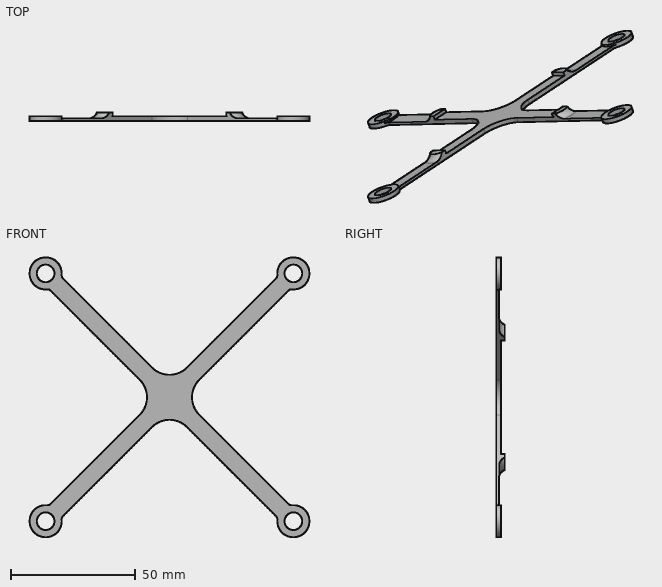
import cadquery as cq
import math


overall_span = 112.6
lug_radius = 6.5
lug_hole_diameter = 7.0
arm_width = 7.0
hub_fillet_radius = 10.0
neck_fillet_radius = 2.0

plate_thickness = 2.0
thin_thickness = 1.2
tab_height = 3.5
tab_distance = 35.7
tab_top_radius = 4.3
tab_flank_radius = 3.5

lug_offset = overall_span / 2 - lug_radius
lug_distance = lug_offset * math.sqrt(2)
arm_angles = (45, 135, 225, 315)
tab_axis_distance = lug_distance / 2
tab_rise = tab_height - thin_thickness
tab_flank_reach = math.sqrt(tab_flank_radius**2 - (tab_flank_radius - tab_rise) ** 2)
tab_base_radius = tab_top_radius + tab_flank_reach


def back_plane(y):
    """XZ plane at height y whose normal points toward +Y."""
    return cq.Workplane(cq.Plane(origin=(0, y, 0), xDir=(1, 0, 0), normal=(0, 1, 0)))


def on_each_arm(arm_feature):
    """Union of four copies of a feature modelled on the arm along +X."""
    copies = cq.Workplane()
    for angle in arm_angles:
        copies = copies.add(arm_feature.rotate((0, 0, 0), (0, 1, 0), angle))
    return copies.combine()


def make_outline_plate():
    """Full-thickness plate with hub and neck fillets."""
    bar_length = 2 * lug_distance
    bar = back_plane(0).rect(bar_length, arm_width).extrude(plate_thickness)
    cross = bar.rotate((0, 0, 0), (0, 1, 0), arm_angles[0])
    cross = cross.union(bar.rotate((0, 0, 0), (0, 1, 0), arm_angles[1]))
    hub_zone = cq.selectors.BoxSelector(
        (-arm_width, 0, -arm_width),
        (arm_width, plate_thickness, arm_width),
    )
    cross = cross.edges("|Y").edges(hub_zone).fillet(hub_fillet_radius)

    lug = back_plane(0).center(lug_distance, 0).circle(lug_radius).extrude(plate_thickness)
    plate = cross.union(on_each_arm(lug))
    neck_distance = lug_distance - math.sqrt(lug_radius**2 - (arm_width / 2) ** 2)
    match_tolerance = 0.01
    neck_radius = math.hypot(neck_distance, arm_width / 2)
    necks = [
        edge
        for edge in plate.edges("|Y").vals()
        if abs(math.hypot(edge.Center().x, edge.Center().z) - neck_radius) < match_tolerance
    ]
    return plate.newObject(necks).fillet(neck_fillet_radius)


def make_arm_relief():
    """Material removed from the back of the outer arm, stopping at the lug circle."""
    relief_depth = plate_thickness - thin_thickness
    relief_length = lug_distance - tab_distance
    relief = (
        back_plane(thin_thickness)
        .center(tab_distance + relief_length / 2, 0)
        .rect(relief_length, 2 * lug_radius)
        .extrude(relief_depth)
    )
    lug = back_plane(thin_thickness).center(lug_distance, 0).circle(lug_radius).extrude(relief_depth)
    return relief.cut(lug)


def make_tab():
    """Half-round post with a concave flank, trimmed to the arm width, flat side facing the hub."""
    profile = (
        cq.Workplane("XY", origin=(tab_axis_distance, 0, 0))
        .moveTo(0, thin_thickness)
        .lineTo(tab_base_radius, thin_thickness)
        .radiusArc((tab_top_radius, tab_height), tab_flank_radius)
        .lineTo(0, tab_height)
        .close()
    )
    round_tab = profile.revolve(360, (0, 0, 0), (0, 1, 0))
    envelope = (
        back_plane(thin_thickness)
        .center(tab_distance + tab_base_radius / 2, 0)
        .rect(tab_base_radius, arm_width)
        .extrude(tab_rise)
    )
    return round_tab.intersect(envelope)


def make_lug_hole():
    return back_plane(0).center(lug_distance, 0).circle(lug_hole_diameter / 2).extrude(plate_thickness)


brace = make_outline_plate()
brace = brace.cut(on_each_arm(make_arm_relief()))
brace = brace.union(on_each_arm(make_tab()))
result = brace.cut(on_each_arm(make_lug_hole()))